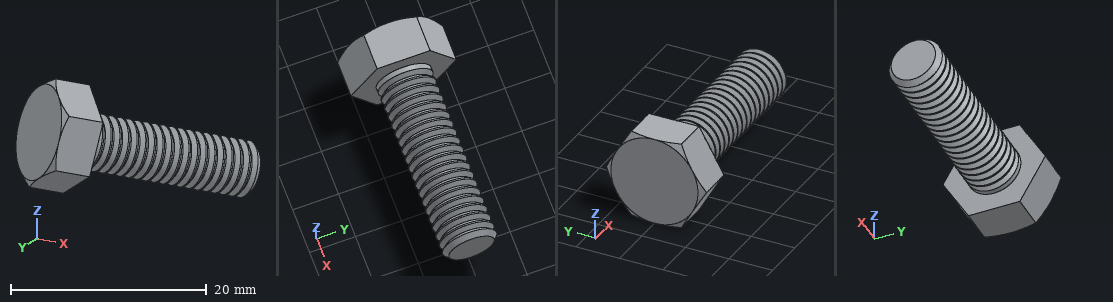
import cadquery as cq
import math

total_length = 24.38
head_length = 4.4
across_flats = 10.0
head_chamfer_angle = 30.0
shank_diameter = 6.0
thread_pitch = 1.0
groove_width = 0.83
groove_depth = 0.49
tip_chamfer_depth = 0.5

across_corners = across_flats / math.cos(math.radians(30))
shank_length = total_length - head_length
groove_count = round(shank_length / thread_pitch) - 1
shank_radius = shank_diameter / 2


def make_head():
    """Hexagon with corners on Y, its outer corners cut back by a cone."""
    hexagon = cq.Workplane("YZ").polygon(6, across_corners).extrude(head_length)
    face_radius = across_flats / 2
    corner_radius = across_corners / 2
    cone_length = (corner_radius - face_radius) * math.tan(math.radians(head_chamfer_angle))
    envelope = (
        cq.Workplane("XY")
        .polyline([
            (0, 0),
            (0, face_radius),
            (cone_length, corner_radius),
            (head_length, corner_radius),
            (head_length, 0),
        ])
        .close()
        .revolve(360, (0, 0, 0), (1, 0, 0))
    )
    return hexagon.intersect(envelope)


def make_threaded_shank():
    """Revolved shank with one V groove per pitch and a conical tip."""
    profile = [(head_length, 0), (head_length, shank_radius)]
    for groove in range(1, groove_count + 1):
        root_x = head_length + groove * thread_pitch
        profile += [
            (root_x - groove_width / 2, shank_radius),
            (root_x, shank_radius - groove_depth),
            (root_x + groove_width / 2, shank_radius),
        ]
    profile += [
        (total_length, shank_radius - tip_chamfer_depth),
        (total_length, 0),
    ]
    return cq.Workplane("XY").polyline(profile).close().revolve(360, (0, 0, 0), (1, 0, 0))


result = make_head().union(make_threaded_shank())